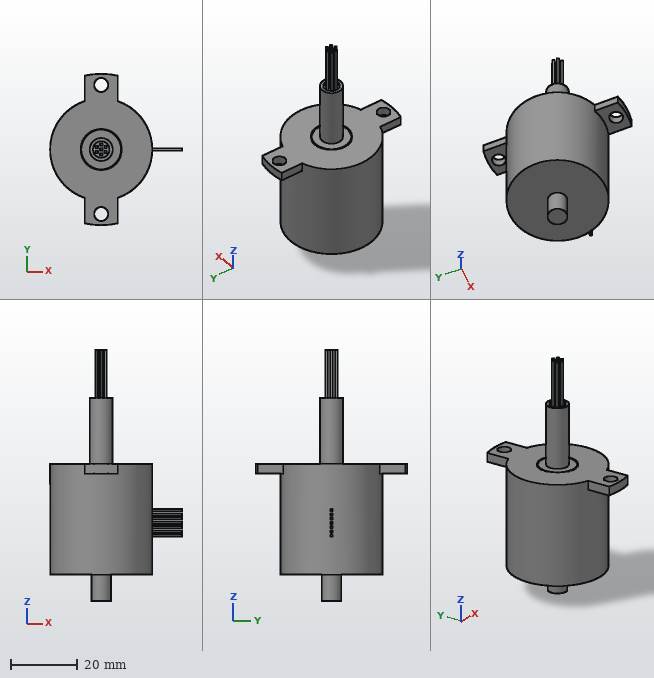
import cadquery as cq

body_diameter = 31.0
body_height = 33.5

shaft_diameter = 6.0
shaft_length = 8.0

lug_span = 45.9
lug_width = 10.0
lug_thickness = 3.0
lug_hole_spacing = 39.1
lug_hole_diameter = 4.2

groove_outer_diameter = 12.5
groove_width = 0.2
groove_depth = 0.4

tube_diameter = 7.0
tube_bore_diameter = 5.0
tube_length = 20.0
tube_bore_depth = 0.75

lead_diameter = 0.8
lead_circle_radius = 1.5
ring_lead_count = 6
lead_exposed_length = 14.5

side_wire_diameter = 0.75
side_wire_count = 7
side_wire_pitch = 1.3
side_wire_row_height = 15.65
side_wire_reach = 24.5
side_wire_embedded_length = 1.5

tube_top = body_height + tube_length


def cylinder(diameter, bottom, height):
    """Vertical cylinder on the part's axis."""
    return cq.Workplane("XY").workplane(offset=bottom).circle(diameter / 2).extrude(height)


def mounting_lugs():
    """Bar across the body with rounded ends and one hole near each end."""
    bottom = body_height - lug_thickness
    bar = cq.Workplane("XY").workplane(offset=bottom).rect(lug_width, lug_span).extrude(lug_thickness)
    rounded_bar = bar.intersect(cylinder(lug_span, bottom, lug_thickness))
    half_spacing = lug_hole_spacing / 2
    holes = (
        cq.Workplane("XY")
        .workplane(offset=bottom)
        .pushPoints([(0, -half_spacing), (0, half_spacing)])
        .circle(lug_hole_diameter / 2)
        .extrude(lug_thickness)
    )
    return rounded_bar.cut(holes)


def ring_groove():
    """Ring to remove from the top face."""
    bottom = body_height - groove_depth
    inner_diameter = groove_outer_diameter - 2 * groove_width
    outer = cylinder(groove_outer_diameter, bottom, groove_depth)
    return outer.cut(cylinder(inner_diameter, bottom, groove_depth))


def cable_tube():
    """Tube with a shallow recess in its upper end."""
    outer = cylinder(tube_diameter, body_height, tube_length)
    return outer.cut(cylinder(tube_bore_diameter, tube_top - tube_bore_depth, tube_bore_depth))


def lead_wires():
    """Bundle of leads running from the body through the tube."""
    length = tube_length + lead_exposed_length
    base = cq.Workplane("XY").workplane(offset=body_height)
    ring = base.polarArray(lead_circle_radius, 90, 360, ring_lead_count).circle(lead_diameter / 2).extrude(length)
    return ring.union(cylinder(lead_diameter, body_height, length))


def side_wires():
    """Vertical row of wires, each starting just inside the body wall."""
    start = body_diameter / 2 - side_wire_embedded_length
    return (
        cq.Workplane("YZ", origin=(start, 0, side_wire_row_height))
        .rarray(0.75, side_wire_pitch, 1, side_wire_count)
        .circle(side_wire_diameter / 2)
        .extrude(side_wire_reach - start)
    )


result = (
    cylinder(body_diameter, 0, body_height)
    .union(mounting_lugs())
    .cut(ring_groove())
    .union(cylinder(shaft_diameter, -shaft_length, shaft_length))
    .union(cable_tube())
    .union(lead_wires())
    .union(side_wires())
)